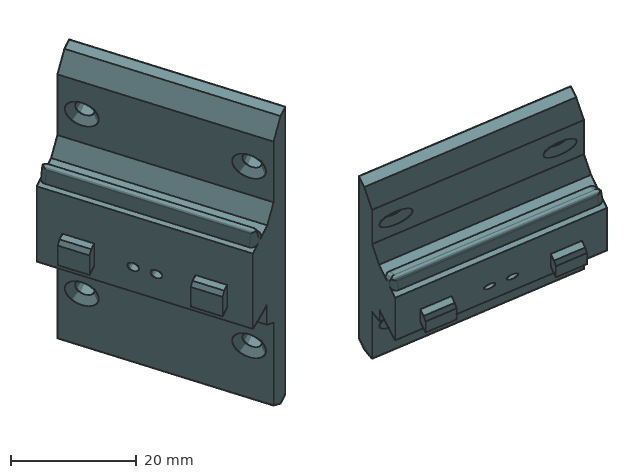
import cadquery as cq

width = 37.0
length = 73.4
plate_thickness = 5.1
end_chamfer = 3.0

block_depth = 13.95
block_top = 15.5
block_bottom = -3.75
undercut_root = -4.6
undercut_bulge = 0.15
shelf_depth = 8.0
shelf_bottom = -9.6
top_slope_leg = 2.7
shelf_leg = shelf_depth - plate_thickness

lip_back = 9.5
lip_front = 13.0
lip_apex_depth = 12.1
lip_apex_height = 4.3
lip_top_radius = 0.6
lip_end_radius = 1.0
lip_embed = 1.5

pad_width = 5.4
pad_offset = 11.4
pad_top = 5.4
pad_bottom = -0.3
pad_front = 15.9
pad_chamfer = 0.7

screw_x = 14.3
screw_heights = (25.5, -20.35)
screw_diameter = 3.3
countersink_diameter = 5.8
countersink_angle = 90
pin_diameter = 2.0
pin_x = 2.0
pin_height = 2.6


def centred_extrusion(outline):
    """Extrude a YZ outline symmetrically over the plate width."""
    return outline.close().extrude(width / 2, both=True)


def make_body():
    half = length / 2
    chamfered_depth = plate_thickness - end_chamfer
    outline = (
        cq.Workplane("YZ")
        .moveTo(0, -half)
        .lineTo(-chamfered_depth, -half)
        .lineTo(-plate_thickness, -half + end_chamfer)
        .lineTo(-plate_thickness, shelf_bottom - shelf_leg)
        .lineTo(-shelf_depth, shelf_bottom)
        .lineTo(-shelf_depth, undercut_root)
        .sagittaArc((-block_depth, block_bottom), undercut_bulge)
        .lineTo(-block_depth, block_top)
        .lineTo(-plate_thickness - top_slope_leg, block_top)
        .lineTo(-plate_thickness, block_top + top_slope_leg)
        .lineTo(-plate_thickness, half - end_chamfer)
        .lineTo(-chamfered_depth, half)
        .lineTo(0, half)
    )
    return centred_extrusion(outline)


def make_lip():
    """Intersect the round-topped wedge with two prisms that round its end edges."""
    base = block_top - lip_embed
    apex = (-lip_apex_depth, block_top + lip_apex_height)
    embed_ratio = lip_embed / lip_apex_height
    back_foot = (-lip_back + (lip_apex_depth - lip_back) * embed_ratio, base)
    front_foot = (-lip_front - (lip_front - lip_apex_depth) * embed_ratio, base)

    wedge = centred_extrusion(cq.Workplane("YZ").polyline([back_foot, apex, front_foot]))
    wedge = wedge.edges(">Z").fillet(lip_top_radius)

    front = centred_extrusion(
        cq.Workplane("YZ").polyline([(0, base), front_foot, apex, (0, apex[1])])
    )
    front = front.faces("<Y").edges("<X or >X").fillet(lip_end_radius)
    back = centred_extrusion(
        cq.Workplane("YZ").polyline(
            [(-pad_front, base), back_foot, apex, (-pad_front, apex[1])]
        )
    )
    back = back.faces(">Y").edges("<X or >X").fillet(lip_end_radius)
    return wedge.intersect(front).intersect(back)


def make_pad(x):
    overlap = pad_chamfer
    height = pad_top - pad_bottom
    depth = pad_front - block_depth + overlap
    return (
        cq.Workplane("XY")
        .box(pad_width, depth, height)
        .edges("<Y and >Z")
        .chamfer(pad_chamfer)
        .translate((x, -pad_front + depth / 2, (pad_top + pad_bottom) / 2))
    )


def drill_screw_holes(part):
    centres = [(x, z) for x in (-screw_x, screw_x) for z in screw_heights]
    return (
        part.copyWorkplane(cq.Workplane("XZ", origin=(0, -plate_thickness, 0)))
        .pushPoints(centres)
        .cskHole(screw_diameter, countersink_diameter, countersink_angle)
    )


def drill_pin_holes(part):
    return (
        part.copyWorkplane(cq.Workplane("XZ", origin=(0, -block_depth, 0)))
        .pushPoints([(-pin_x, pin_height), (pin_x, pin_height)])
        .hole(pin_diameter)
    )


body = make_body().union(make_lip())
for side in (-1, 1):
    body = body.union(make_pad(side * pad_offset))
body = drill_screw_holes(body)
result = drill_pin_holes(body)